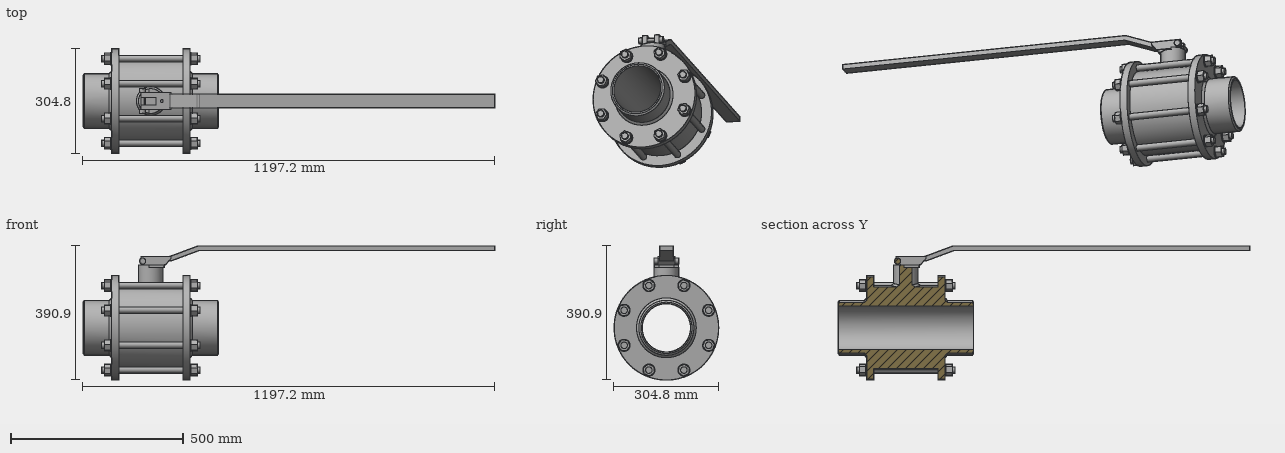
import cadquery as cq
import math


pipe_half_length = 197.18
pipe_radius = 80.0
bore_radius = 70.0
bevel_length = 3.6
bevel_depth = 5.5
weld_leg = 7.0

body_radius = 123.0
flange_radius = 152.4
flange_inner_x = 93.0
flange_outer_x = 114.0

stud_count = 8
stud_circle_radius = 133.0
stud_diameter = 19.0
stud_half_length = 143.0
washer_diameter = 35.0
washer_thickness = 3.0
nut_across_flats = 30.0
nut_height = 18.0

neck_radius = 36.0
neck_top_z = 176.0
neck_weld_leg = 6.0
rim_edge_x = -5.0

hub_left_x = -29.0
hub_right_x = 58.0
hub_width = 50.0
hub_bottom_z = 183.0
hub_top_z = 208.0
hub_nose_bottom_x = 43.0
hub_nose_z = 201.0
slot_width = 22.0
slot_end_x = 15.0
stem_left_x = -15.0
stem_top_z = 203.0
stop_plate_reach = 39.0
stop_plate_width = 44.0
pin_hole_x = 32.0
pin_hole_diameter = 8.0
pin_hole_depth = 10.0

clamp_x = -24.0
clamp_z = 194.0
clamp_shank_diameter = 10.0
clamp_head_diameter = 18.0
clamp_half_length = 36.0

lever_width = 40.0
lever_thickness = 14.0
lever_end_x = 1000.0
lever_top_z = 390.94 - flange_radius
lever_root_x = 56.0
lever_bend_x = 138.0
lever_bend_radius = 20.0
lever_tail_length = 10.0


def x_cylinder(radius, x_start, x_end):
    """Cylinder about the X axis between two X positions."""
    return cq.Workplane("YZ", origin=(x_start, 0, 0)).circle(radius).extrude(x_end - x_start)


def box_between(x_range, y_range, z_range):
    """Box spanning the given X, Y and Z ranges."""
    sizes = [high - low for low, high in (x_range, y_range, z_range)]
    corner = (x_range[0], y_range[0], z_range[0])
    return cq.Workplane("XY").box(*sizes, centered=False).translate(corner)


def make_shell():
    """Body, flanges, weld fillets and bevelled pipe ends, revolved about X without the bore."""
    right_outline = [
        (flange_inner_x, body_radius),
        (flange_inner_x, flange_radius),
        (flange_outer_x, flange_radius),
        (flange_outer_x, pipe_radius + weld_leg),
        (flange_outer_x + weld_leg, pipe_radius),
        (pipe_half_length - bevel_length, pipe_radius),
        (pipe_half_length, pipe_radius - bevel_depth),
        (pipe_half_length, 0),
    ]
    left_outline = [(-x, radius) for x, radius in reversed(right_outline)]
    outline = cq.Workplane("XY").polyline(left_outline + right_outline).close()
    return outline.revolve(360, (0, 0, 0), (1, 0, 0))


def make_stud():
    """Tie stud on the X axis with a washer and a hexagon nut outside each flange.

    The nut has corners to either side (along Y) and flats above and below.
    """
    stud = x_cylinder(stud_diameter / 2, -stud_half_length, stud_half_length)
    washer_outer_x = flange_outer_x + washer_thickness
    washer = x_cylinder(washer_diameter / 2, flange_outer_x, washer_outer_x)
    nut_across_corners = nut_across_flats / math.cos(math.radians(30))
    nut = (
        cq.Workplane("YZ", origin=(washer_outer_x, 0, 0))
        .polygon(6, nut_across_corners)
        .extrude(nut_height)
    )
    fastening = washer.union(nut)
    return stud.union(fastening).union(fastening.mirror("YZ"))


def add_studs(valve):
    """Place the studs evenly round the flanges, straddling the vertical plane."""
    stud = make_stud()
    stud = stud.translate((0, 0, stud_circle_radius))
    pitch = 360 / stud_count
    for index in range(stud_count):
        angle = (index + 0.5) * pitch
        valve = valve.union(stud.rotate((0, 0, 0), (1, 0, 0), angle))
    return valve


def make_neck():
    """Stem neck with a raised half rim on its -X side and the lever stop plate on its +X side."""
    neck = cq.Workplane("XY").circle(neck_radius).extrude(neck_top_z)
    rim_zone = box_between(
        (-neck_radius, rim_edge_x), (-neck_radius, neck_radius), (neck_top_z, hub_bottom_z)
    )
    rim = cq.Workplane("XY").circle(neck_radius).extrude(hub_bottom_z).intersect(rim_zone)
    half_width = stop_plate_width / 2
    stop_plate = box_between(
        (rim_edge_x, stop_plate_reach), (-half_width, half_width), (neck_top_z, hub_bottom_z)
    )
    return neck.union(rim).union(stop_plate)


def weld_neck(shell, neck):
    """Join the neck to the body with a sloping weld round its foot."""
    foot_zone = cq.selectors.BoxSelector(
        (-neck_radius, -neck_radius, 0), (neck_radius, neck_radius, body_radius + neck_weld_leg)
    )
    return shell.union(neck).edges(foot_zone).chamfer(neck_weld_leg)


def make_hub():
    """Lever hub with bevelled nose, clamping slot, pin hole, stem end and clamp bolt."""
    profile = [
        (hub_left_x, hub_bottom_z),
        (hub_nose_bottom_x, hub_bottom_z),
        (hub_right_x, hub_nose_z),
        (hub_right_x, hub_top_z),
        (hub_left_x, hub_top_z),
    ]
    hub = cq.Workplane("XZ").polyline(profile).close().extrude(hub_width / 2, both=True)
    half_slot = slot_width / 2
    slot_y = (-half_slot, half_slot)
    hub = hub.cut(box_between((hub_left_x, slot_end_x), slot_y, (hub_bottom_z, hub_top_z)))
    pin_hole = (
        cq.Workplane("XY", origin=(pin_hole_x, 0, hub_top_z))
        .circle(pin_hole_diameter / 2)
        .extrude(-pin_hole_depth)
    )
    hub = hub.cut(pin_hole)
    stem = box_between((stem_left_x, slot_end_x), slot_y, (neck_top_z, stem_top_z))

    bolt_axis = cq.Workplane("XZ", origin=(clamp_x, 0, clamp_z))
    shank = bolt_axis.circle(clamp_shank_diameter / 2).extrude(hub_width / 2, both=True)
    head = (
        bolt_axis.workplane(offset=hub_width / 2)
        .circle(clamp_head_diameter / 2)
        .extrude(clamp_half_length - hub_width / 2)
    )
    return hub.union(stem).union(shank).union(head).union(head.mirror("XZ"))


def make_lever():
    """Flat lever bar, rounded at both bends, that rises from the hub and then runs level."""
    rise = math.atan2(lever_top_z - hub_top_z, lever_bend_x - lever_root_x)
    bend_shift = lever_thickness * math.tan(rise / 2)
    tail_x = lever_root_x - lever_tail_length
    root_top = (lever_root_x, hub_top_z)
    root_bottom = (lever_root_x + bend_shift, hub_top_z - lever_thickness)
    bend_top = (lever_bend_x, lever_top_z)
    bend_bottom = (lever_bend_x + bend_shift, lever_top_z - lever_thickness)
    profile = [
        (tail_x, hub_top_z),
        root_top,
        bend_top,
        (lever_end_x, lever_top_z),
        (lever_end_x, lever_top_z - lever_thickness),
        bend_bottom,
        root_bottom,
        (tail_x, hub_top_z - lever_thickness),
    ]
    lever = cq.Workplane("XZ").polyline(profile).close().extrude(lever_width / 2, both=True)
    inside_radius = lever_bend_radius - lever_thickness
    bends = [
        (root_top, inside_radius),
        (root_bottom, lever_bend_radius),
        (bend_top, lever_bend_radius),
        (bend_bottom, inside_radius),
    ]
    for (x, z), radius in bends:
        lever = lever.edges(cq.NearestToPointSelector((x, 0, z))).fillet(radius)
    return lever


valve = weld_neck(make_shell(), make_neck())
valve = add_studs(valve)
valve = valve.union(make_hub()).union(make_lever())
result = valve.cut(x_cylinder(bore_radius, -pipe_half_length, pipe_half_length))